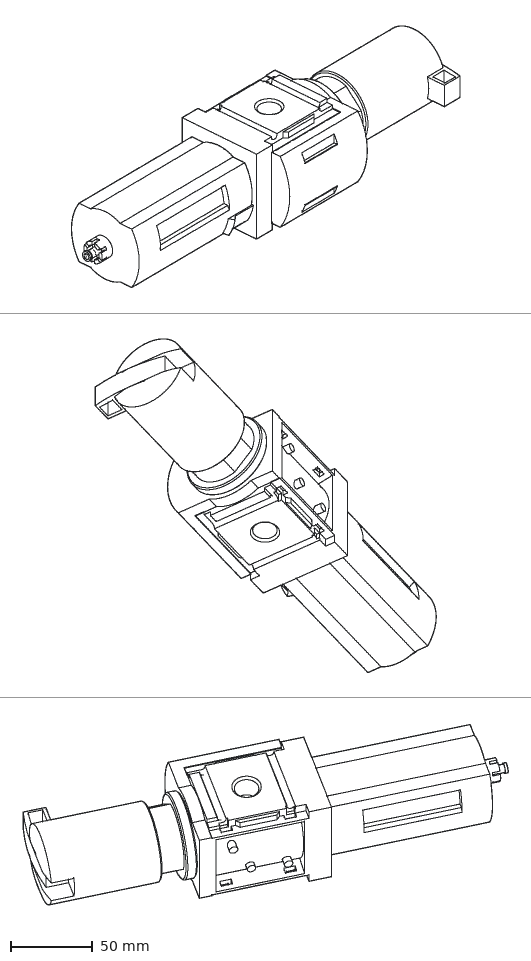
import cadquery as cq
import math


EPS = 1.5

PIN_TIP_Y = -166.0
DRAIN_END_Y = -160.0
DRAIN_BASE_Y = -150.5
BOWL_END_Y = -149.0
HOUSING_BOTTOM_Y = -45.3
FRAME_HALF_LENGTH = 31.0
HOUSING_TOP_Y = 39.0
FLANGE_TOP_Y = 46.2
KNOB_BOTTOM_Y = 61.0
KNOB_RIM_Y = 131.5
KNOB_TOP_Y = 134.2

BLOCK_HALF = 31.0
CORE_HALF_Z = 25.8
STRIP_DROP = 0.5
COVER_RADIUS = 46.0
COVER_BOTTOM_Y = -31.5
COLLAR_RADIUS = 30.0
FLANGE_DIAMETER = 55.0
NECK_RADIUS = 22.2
NECK_FLAT_DISTANCE = 20.5
NECK_FLAT_ANGLE = 45
RIM_CHAMFER = 1.0

PANEL_HALF_WIDTH = 24.3
RIB_HALF_WIDTH = 19.8
GROOVE_OUTER_Y = 24.3
GROOVE_INNER_Y = 19.5
GROOVE_BOTTOM_Y = (GROOVE_OUTER_Y + GROOVE_INNER_Y) / 2
GROOVE_DEPTH = 3.0
PORT_DIAMETER = 15.0
PORT_MOUTH_DIAMETER = 18.0
PORT_CHAMFER = (PORT_MOUTH_DIAMETER - PORT_DIAMETER) / 2
PORT_DEPTH = 15.0
TAB_HALF_LENGTH = 14.0
TAB_LEDGE = 2.5
TAB_TOP_Z = 29.5
POCKET_OUTER_X = -27.5
POCKET_INNER_X = -22.2
POCKET_NEAR_Y = 16.8
POCKET_FAR_Y = 24.0
POCKET_STEP_Y = 18.5

WINDOW_HALF_LENGTH = 28.2
WINDOW_MOUTH_HALF_Z = 23.0
WINDOW_BACK_HALF_Z = 20.7
WINDOW_BACK_RADIUS = 28.5
PEG_DIAMETER = 5.5
PEG_LENGTH = 7.8
PEG_PLACES = [(17.0, 10.8), (5.7, -9.0), (-18.0, -11.7)]

COVER_SLOT_HALF_LENGTH = 14.7
COVER_SLOT_INNER_X = 40.5
COVER_SLOT_OUTER_X = 43.2
COVER_SLOT_FLOOR_Z = 15.0

KNOB_RADIUS = 25.5
KNOB_FACE_RADIUS = 15.0
DOME_BULGE = 0.6
SLIDER_HALF_Z = 7.8
SLIDER_LEFT_X = -12.5
SLIDER_RIGHT_X = 38.5
SLIDER_BOTTOM_Y = 117.0
LUG_HOLE_LEFT_X = 26.7
LUG_HOLE_RIGHT_X = 37.0
LUG_HOLE_BOTTOM_Y = 119.5
LUG_HOLE_TOP_LEFT_Y = 129.7
LUG_HOLE_TOP_RIGHT_Y = 128.8

BOWL_HALF_WIDTH = 28.2
BOWL_CORNER_X = 22.0
BOWL_FLAT_Z = 21.3
BOWL_RADIUS = 24.5
BOWL_DISC_DIAMETER = 43.0
BOWL_BOSS_DIAMETER = 22.8
BOWL_NECK_LENGTH = 1.0
BOWL_NECK_INSET = 1.0
SIGHT_TOP_Y = -67.0
SIGHT_BOTTOM_Y = -129.5
SIGHT_LOW_Z = -0.5
SIGHT_HIGH_Z = 16.0
SIGHT_BEVEL = 2.7
SIGHT_LEDGE_X = 26.7
SIGHT_DEPTH = 4.5
LATCH_TOP_Z = -7.2
LATCH_BOTTOM_Z = -19.8
LATCH_END_Y = -67.3
LATCH_THICKNESS = 1.0
LATCH_GRIP_Y = -64.5
LATCH_GRIP_HALF = 2.7
LATCH_GRIP_HEIGHT = 2.5

DRAIN_DIAMETER = 15.0
DRAIN_BORE_DIAMETER = 10.0
DRAIN_SLOTS = 6
DRAIN_SLOT_WIDTH = 2.0
DRAIN_SLOT_LENGTH = 4.8
PIN_DIAMETER = 5.5
PIN_HEAD_DIAMETER = 6.5
PIN_HEAD_LENGTH = 1.8
PIN_HOLE_DIAMETER = 4.0


def box(x0, x1, y0, y1, z0, z1):
    """Box between two opposite corners."""
    return cq.Workplane("XY").box(x1 - x0, y1 - y0, z1 - z0, centered=False).translate((x0, y0, z0))


def section_at(y):
    """Workplane across the main axis: local x is X, local y is Z, extrusion runs toward +Y."""
    return cq.Workplane(cq.Plane(origin=(0, y, 0), xDir=(1, 0, 0), normal=(0, -1, 0)))


def along_y(sketch, y0, y1):
    """Extrude a section drawn at y0 to y1."""
    return sketch.extrude(y0 - y1)


def cylinder_y(diameter, y0, y1):
    """Cylinder on the main axis."""
    return along_y(section_at(y0).circle(diameter / 2), y0, y1)


def arc_x(radius, z):
    """X distance from the main axis of a circle at height z."""
    return math.sqrt(radius**2 - z**2)


def both_faces(shape):
    """A shape on the +Z side together with its mirror on the -Z side."""
    return shape.union(shape.mirror("XY"))




def housing_core():
    """Core with the round-faced cover on +X, the collar and the square bottom block."""
    cover_edge_x = arc_x(COVER_RADIUS, CORE_HALF_Z)
    outline = (
        section_at(COVER_BOTTOM_Y)
        .moveTo(-BLOCK_HALF, -CORE_HALF_Z)
        .lineTo(cover_edge_x, -CORE_HALF_Z)
        .threePointArc((COVER_RADIUS, 0), (cover_edge_x, CORE_HALF_Z))
        .lineTo(-BLOCK_HALF, CORE_HALF_Z)
        .close()
    )
    core = along_y(outline, COVER_BOTTOM_Y, HOUSING_TOP_Y)
    collar = cylinder_y(2 * COLLAR_RADIUS, FRAME_HALF_LENGTH, HOUSING_TOP_Y)
    block = box(
        -BLOCK_HALF, BLOCK_HALF, HOUSING_BOTTOM_Y, -FRAME_HALF_LENGTH, -BLOCK_HALF, BLOCK_HALF
    )
    lowered = box(
        -BLOCK_HALF - EPS, BLOCK_HALF, -FRAME_HALF_LENGTH, FRAME_HALF_LENGTH,
        CORE_HALF_Z - STRIP_DROP, BLOCK_HALF,
    )
    return core.union(collar).union(block).cut(both_faces(lowered))


def port_panel():
    """Panel on the +Z face with two round cross grooves, an end rib and side tabs."""
    base_z = CORE_HALF_Z - STRIP_DROP - EPS
    panel = box(
        -PANEL_HALF_WIDTH, PANEL_HALF_WIDTH, -FRAME_HALF_LENGTH, FRAME_HALF_LENGTH,
        base_z, BLOCK_HALF,
    )
    groove_z = BLOCK_HALF - GROOVE_DEPTH
    groove = (
        cq.Workplane("YZ", origin=(-PANEL_HALF_WIDTH, 0, 0))
        .moveTo(GROOVE_OUTER_Y, BLOCK_HALF)
        .threePointArc((GROOVE_BOTTOM_Y, groove_z), (GROOVE_INNER_Y, BLOCK_HALF))
        .close()
        .extrude(2 * PANEL_HALF_WIDTH)
    )
    panel = panel.cut(groove).cut(groove.mirror("XZ"))
    for x0, x1 in [(-PANEL_HALF_WIDTH, -RIB_HALF_WIDTH), (RIB_HALF_WIDTH, PANEL_HALF_WIDTH)]:
        panel = panel.cut(box(x0, x1, GROOVE_BOTTOM_Y, FRAME_HALF_LENGTH, groove_z, BLOCK_HALF))
    tab_half_width = PANEL_HALF_WIDTH + TAB_LEDGE
    tabs = box(
        -tab_half_width, tab_half_width, -TAB_HALF_LENGTH, TAB_HALF_LENGTH, base_z, TAB_TOP_Z
    ).edges("|Z").chamfer(TAB_LEDGE)
    return panel.union(tabs)


def port_hole():
    """Blind port bore on the +Z face with a conical mouth."""
    bore = cq.Workplane("XY", origin=(0, 0, BLOCK_HALF)).circle(PORT_DIAMETER / 2).extrude(-PORT_DEPTH)
    mouth = (
        cq.Workplane("XY", origin=(0, 0, BLOCK_HALF))
        .circle(PORT_MOUTH_DIAMETER / 2)
        .workplane(offset=-PORT_CHAMFER)
        .circle(PORT_DIAMETER / 2)
        .loft()
    )
    return bore.union(mouth)


def clip_pockets():
    """Stepped clip openings at both ends of the -X strip, through the frame wall."""
    low_z = WINDOW_BACK_HALF_Z
    strip_cut = box(
        POCKET_OUTER_X, -PANEL_HALF_WIDTH, POCKET_NEAR_Y, POCKET_FAR_Y, low_z, BLOCK_HALF
    )
    groove_cut = box(
        -PANEL_HALF_WIDTH, POCKET_INNER_X, POCKET_STEP_Y, POCKET_FAR_Y,
        CORE_HALF_Z - STRIP_DROP, BLOCK_HALF,
    )
    pocket = strip_cut.union(groove_cut)
    return pocket.union(pocket.mirror("XZ"))


def side_window():
    """Recess in the -X face, with sloped long walls and a back that bulges outward."""
    back_x = -arc_x(WINDOW_BACK_RADIUS, WINDOW_BACK_HALF_Z)
    outline = (
        section_at(-WINDOW_HALF_LENGTH)
        .moveTo(-BLOCK_HALF, -WINDOW_MOUTH_HALF_Z)
        .lineTo(back_x, -WINDOW_BACK_HALF_Z)
        .threePointArc((-WINDOW_BACK_RADIUS, 0), (back_x, WINDOW_BACK_HALF_Z))
        .lineTo(-BLOCK_HALF, WINDOW_MOUTH_HALF_Z)
        .close()
    )
    return along_y(outline, -WINDOW_HALF_LENGTH, WINDOW_HALF_LENGTH)


def window_pegs():
    """Pegs that rise from the back of the side window to the -X face."""
    return (
        cq.Workplane("YZ", origin=(-BLOCK_HALF, 0, 0))
        .pushPoints(PEG_PLACES)
        .circle(PEG_DIAMETER / 2)
        .extrude(PEG_LENGTH)
    )


def cover_slot():
    """Flat-bottomed slot in the upper part of the cover's curved face."""
    return box(
        COVER_SLOT_INNER_X, COVER_SLOT_OUTER_X, -COVER_SLOT_HALF_LENGTH, COVER_SLOT_HALF_LENGTH,
        COVER_SLOT_FLOOR_Z, CORE_HALF_Z,
    )


def knob_seat():
    """Round flange and neck below the knob; the neck has two spanner flats."""
    flange = cylinder_y(FLANGE_DIAMETER, HOUSING_TOP_Y, FLANGE_TOP_Y).edges().chamfer(RIM_CHAMFER)
    neck = cylinder_y(2 * NECK_RADIUS, FLANGE_TOP_Y, KNOB_BOTTOM_Y)
    between_flats = box(
        -NECK_FLAT_DISTANCE, NECK_FLAT_DISTANCE, FLANGE_TOP_Y, KNOB_BOTTOM_Y,
        -NECK_RADIUS, NECK_RADIUS,
    ).rotate((0, 0, 0), (0, 1, 0), -NECK_FLAT_ANGLE)
    return flange.union(neck.intersect(between_flats))


def make_housing():
    housing = housing_core().cut(side_window()).union(window_pegs()).union(both_faces(port_panel()))
    housing = housing.cut(both_faces(port_hole()))
    housing = housing.cut(both_faces(clip_pockets())).cut(both_faces(cover_slot()))
    return housing.union(knob_seat())




def make_knob():
    """Knob with a domed end, a slot on -X and a locking slider whose lug sticks out on +X."""
    dome_mid_radius = (KNOB_RADIUS + KNOB_FACE_RADIUS) / 2
    dome_mid_y = KNOB_RIM_Y + DOME_BULGE * (KNOB_TOP_Y - KNOB_RIM_Y)
    knob = (
        cq.Workplane("XY")
        .moveTo(0, KNOB_BOTTOM_Y)
        .lineTo(KNOB_RADIUS - RIM_CHAMFER, KNOB_BOTTOM_Y)
        .lineTo(KNOB_RADIUS, KNOB_BOTTOM_Y + RIM_CHAMFER)
        .lineTo(KNOB_RADIUS, KNOB_RIM_Y)
        .threePointArc((dome_mid_radius, dome_mid_y), (KNOB_FACE_RADIUS, KNOB_TOP_Y))
        .lineTo(0, KNOB_TOP_Y)
        .close()
        .revolve(360, (0, 0, 0), (0, 1, 0))
    )
    slot = box(
        -KNOB_RADIUS - EPS, KNOB_RADIUS + EPS, SLIDER_BOTTOM_Y, KNOB_TOP_Y + EPS,
        -SLIDER_HALF_Z, SLIDER_HALF_Z,
    )
    slider = (
        cq.Workplane("XY", origin=(0, 0, -SLIDER_HALF_Z))
        .moveTo(SLIDER_LEFT_X, SLIDER_BOTTOM_Y)
        .lineTo(SLIDER_RIGHT_X, SLIDER_BOTTOM_Y)
        .lineTo(SLIDER_RIGHT_X, KNOB_RIM_Y)
        .threePointArc(((SLIDER_LEFT_X + SLIDER_RIGHT_X) / 2, KNOB_TOP_Y), (SLIDER_LEFT_X, KNOB_RIM_Y))
        .close()
        .extrude(2 * SLIDER_HALF_Z)
    )
    lug_hole = (
        cq.Workplane("XY", origin=(0, 0, -SLIDER_HALF_Z))
        .polyline([
            (LUG_HOLE_LEFT_X, LUG_HOLE_BOTTOM_Y),
            (LUG_HOLE_RIGHT_X, LUG_HOLE_BOTTOM_Y),
            (LUG_HOLE_RIGHT_X, LUG_HOLE_TOP_RIGHT_Y),
            (LUG_HOLE_LEFT_X, LUG_HOLE_TOP_LEFT_Y),
        ])
        .close()
        .extrude(2 * SLIDER_HALF_Z)
    )
    return knob.cut(slot).union(slider.cut(lug_hole))




def side_arc():
    """Radius and centre offset of the bowl's bulging +X side."""
    rise = BOWL_HALF_WIDTH - BOWL_CORNER_X
    radius = (BOWL_FLAT_Z**2 + rise**2) / (2 * rise)
    return radius, BOWL_HALF_WIDTH - radius


def bowl_side_x(z, inset=0.0):
    """X of the bowl's +X side at height z, optionally set in from the surface."""
    radius, center_x = side_arc()
    return center_x + arc_x(radius - inset, z)


def bowl_prism(y0, y1, inset=0.0):
    """Bowl section: flat top and bottom, bulging sides, round swell in the middle."""
    flat_z = BOWL_FLAT_Z - inset
    corner_x = bowl_side_x(flat_z, inset)
    half_width = BOWL_HALF_WIDTH - inset
    outline = (
        section_at(y0)
        .moveTo(-corner_x, -flat_z)
        .lineTo(corner_x, -flat_z)
        .threePointArc((half_width, 0), (corner_x, flat_z))
        .lineTo(-corner_x, flat_z)
        .threePointArc((-half_width, 0), (-corner_x, -flat_z))
        .close()
    )
    return along_y(outline, y0, y1).union(cylinder_y(2 * (BOWL_RADIUS - inset), y0, y1))


def sight_window():
    """Recess in the +X side with bevelled long walls, a flat lower ledge and a curved floor."""
    floor_low = SIGHT_LOW_Z + SIGHT_BEVEL
    floor_high = SIGHT_HIGH_Z - SIGHT_BEVEL
    floor_mid = (floor_low + floor_high) / 2
    outline = (
        section_at(SIGHT_BOTTOM_Y)
        .moveTo(bowl_side_x(floor_low, SIGHT_DEPTH), floor_low)
        .lineTo(SIGHT_LEDGE_X, floor_low)
        .lineTo(bowl_side_x(SIGHT_LOW_Z), SIGHT_LOW_Z)
        .lineTo(BOWL_HALF_WIDTH + EPS, SIGHT_LOW_Z)
        .lineTo(BOWL_HALF_WIDTH + EPS, SIGHT_HIGH_Z)
        .lineTo(bowl_side_x(SIGHT_HIGH_Z), SIGHT_HIGH_Z)
        .lineTo(bowl_side_x(floor_high, SIGHT_DEPTH), floor_high)
        .threePointArc(
            (bowl_side_x(floor_mid, SIGHT_DEPTH), floor_mid),
            (bowl_side_x(floor_low, SIGHT_DEPTH), floor_low),
        )
        .close()
    )
    return along_y(outline, SIGHT_BOTTOM_Y, SIGHT_TOP_Y)


def release_latch():
    """Latch pad low on the +X side with a pointed grip near its end."""
    radius, center_x = side_arc()
    top_y = HOUSING_BOTTOM_Y
    profile = [
        (radius - EPS, top_y),
        (radius + LATCH_THICKNESS, top_y),
        (radius + LATCH_THICKNESS, LATCH_GRIP_Y + LATCH_GRIP_HALF),
        (radius + LATCH_THICKNESS + LATCH_GRIP_HEIGHT, LATCH_GRIP_Y),
        (radius, LATCH_END_Y),
        (radius - EPS, LATCH_END_Y),
    ]
    top_angle = math.degrees(math.asin(-LATCH_TOP_Z / radius))
    bottom_angle = math.degrees(math.asin(-LATCH_BOTTOM_Z / radius))
    return (
        cq.Workplane("XY")
        .polyline(profile)
        .close()
        .revolve(bottom_angle - top_angle, (0, 0, 0), (0, 1, 0))
        .rotate((0, 0, 0), (0, 1, 0), top_angle)
        .translate((center_x, 0, 0))
    )


def drain():
    """Slotted drain collar around a headed, drilled pin."""
    bottom_cone = (
        section_at(BOWL_END_Y)
        .circle(BOWL_DISC_DIAMETER / 2)
        .workplane(offset=BOWL_END_Y - DRAIN_BASE_Y)
        .circle(BOWL_BOSS_DIAMETER / 2)
        .loft()
    )
    slot_start_y = DRAIN_END_Y + DRAIN_SLOT_LENGTH
    collar = cylinder_y(DRAIN_DIAMETER, DRAIN_END_Y, DRAIN_BASE_Y).cut(
        cylinder_y(DRAIN_BORE_DIAMETER, DRAIN_END_Y, slot_start_y)
    )
    slot = box(
        -DRAIN_SLOT_WIDTH / 2, DRAIN_SLOT_WIDTH / 2, DRAIN_END_Y, slot_start_y, 0, DRAIN_DIAMETER
    )
    for i in range(DRAIN_SLOTS):
        collar = collar.cut(slot.rotate((0, 0, 0), (0, 1, 0), i * 360 / DRAIN_SLOTS))
    pin = cylinder_y(PIN_DIAMETER, PIN_TIP_Y, slot_start_y)
    pin_head = cylinder_y(PIN_HEAD_DIAMETER, PIN_TIP_Y, PIN_TIP_Y + PIN_HEAD_LENGTH)
    pin_hole = cylinder_y(PIN_HOLE_DIAMETER, PIN_TIP_Y, DRAIN_END_Y)
    return bottom_cone.union(collar).union(pin).union(pin_head).cut(pin_hole)


def make_bowl():
    shoulder_y = HOUSING_BOTTOM_Y - BOWL_NECK_LENGTH
    window = sight_window()
    bowl = bowl_prism(BOWL_END_Y, shoulder_y)
    bowl = bowl.union(bowl_prism(shoulder_y, HOUSING_BOTTOM_Y, BOWL_NECK_INSET))
    return bowl.cut(window).cut(window.mirror("YZ")).union(release_latch()).union(drain())


housing = make_housing().solids()
knob = make_knob().solids()
bowl = make_bowl().solids()

result = cq.Compound.makeCompound([housing.val(), knob.val(), bowl.val()])